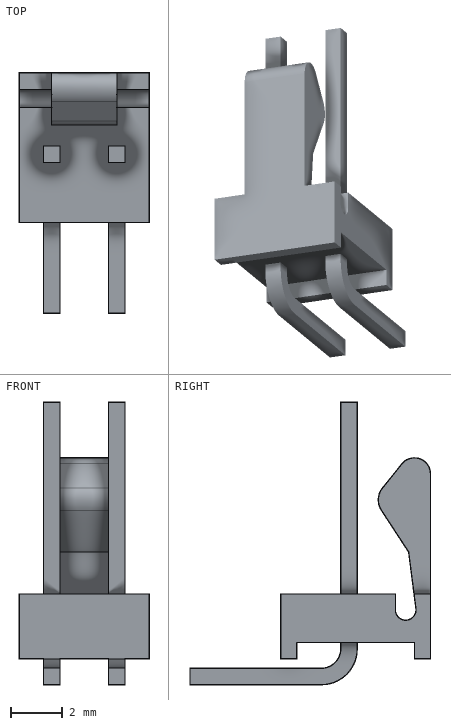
import cadquery as cq
import math

total_height = 11.05
total_depth = 9.4

pitch = 2.54
pin_count = 2
housing_width = pin_count * pitch
housing_depth = 5.86
housing_top = 3.56
housing_bottom = 1.02
foot_depth = 0.63
foot_height = 0.63

pin_size = 0.65
pin_back = -2.86
bend_inner_radius = 0.75
bend_outer_radius = bend_inner_radius + pin_size

slot_radius = 0.4
slot_center_y = -0.97
slot_center_z = 2.93

latch_width = pitch
neck_y = -0.86
neck_z = 5.19
nose_y = -2.22
nose_z = 7.27
peak_z = 10.03
nose_radius = 0.74
tip_radius = 0.63

neck_dy = neck_y - slot_center_y
neck_dz = neck_z - slot_center_z
tangent_angle = math.atan2(neck_dz, neck_dy) - math.acos(slot_radius / math.hypot(neck_dy, neck_dz))
tangent_y = slot_center_y + slot_radius * math.cos(tangent_angle)
tangent_z = slot_center_z + slot_radius * math.sin(tangent_angle)


def extrude_profile(profile, width, center_x=0.0):
    """Extrude a closed YZ profile symmetrically about X = center_x."""
    return profile.extrude(width / 2, both=True).translate((center_x, 0, 0))


def make_slot():
    front_y = slot_center_y - slot_radius
    profile = (
        cq.Workplane("YZ")
        .moveTo(front_y, slot_center_z)
        .threePointArc((slot_center_y, slot_center_z - slot_radius), (tangent_y, tangent_z))
        .lineTo(neck_y, neck_z)
        .lineTo(front_y, neck_z)
        .close()
    )
    return extrude_profile(profile, housing_width)


def make_housing():
    """Pin block on a front and a back foot, with the latch slot cut through."""
    front_y = -housing_depth
    underside = housing_bottom + foot_height
    profile = cq.Workplane("YZ").polyline([
        (0, housing_bottom),
        (0, housing_top),
        (front_y, housing_top),
        (front_y, housing_bottom),
        (front_y + foot_depth, housing_bottom),
        (front_y + foot_depth, underside),
        (-foot_depth, underside),
        (-foot_depth, housing_bottom),
    ]).close()
    return extrude_profile(profile, housing_width).cut(make_slot())


def make_latch():
    """Arm that thickens upwards into a hook with a rounded nose and tip."""
    profile = cq.Workplane("YZ").polyline([
        (0, tangent_z),
        (tangent_y, tangent_z),
        (neck_y, neck_z),
        (nose_y, nose_z),
        (0, peak_z),
    ]).close()
    latch = extrude_profile(profile, latch_width)
    latch = latch.edges("|X").edges("<Y").fillet(nose_radius)
    return latch.edges("|X").edges(">Z").fillet(tip_radius)


def make_pin(center_x):
    """Square pin that stands upright and bends forward below the housing."""
    pin_front = pin_back - pin_size
    bend_y = pin_back - bend_outer_radius
    bend_z = bend_outer_radius
    diagonal = math.sqrt(0.5)
    outer_mid = (bend_y + bend_outer_radius * diagonal, bend_z - bend_outer_radius * diagonal)
    inner_mid = (bend_y + bend_inner_radius * diagonal, bend_z - bend_inner_radius * diagonal)
    profile = (
        cq.Workplane("YZ")
        .moveTo(pin_back, total_height)
        .lineTo(pin_back, bend_z)
        .threePointArc(outer_mid, (bend_y, 0))
        .lineTo(-total_depth, 0)
        .lineTo(-total_depth, pin_size)
        .lineTo(bend_y, pin_size)
        .threePointArc(inner_mid, (pin_front, bend_z))
        .lineTo(pin_front, total_height)
        .close()
    )
    return extrude_profile(profile, pin_size, center_x)


result = make_housing().union(make_latch())
for index in range(pin_count):
    pin_x = (index - (pin_count - 1) / 2) * pitch
    result = result.union(make_pin(pin_x))